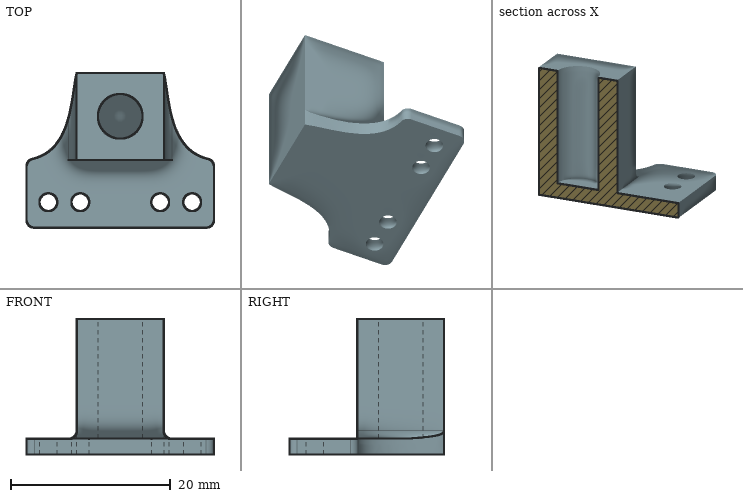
import cadquery as cq
import math

plate_width = 23.5
plate_depth = 8.5
plate_thickness = 2.0
corner_radius = 1.0

block_side = 10.9
total_height = 17.0
socket_diameter = 5.6
fillet_radius = 1.0

mount_hole_diameter = 2.2
mount_hole_y = 3.2
mount_hole_offsets = (5.0, 9.0)

block_handle_x = 0.8
block_handle_y = 3.0
plate_handle_x = 5.9
plate_handle_y = 0.65

half_plate = plate_width / 2
half_block = block_side / 2
back_y = plate_depth + block_side
block_center_y = plate_depth + half_block
fillet_top = plate_thickness + fillet_radius
socket_depth = total_height - plate_thickness


def flare_points(side):
    """Bezier points from the back corner of the block to the plate corner; side is -1 or 1."""
    return [
        (side * half_block, back_y),
        (side * (half_block + block_handle_x), back_y - block_handle_y),
        (side * (half_plate - plate_handle_x), plate_depth + plate_handle_y),
        (side * half_plate, plate_depth),
    ]


def make_footprint(height):
    """Flared outline with rounded plate corners, extruded up from the underside."""
    return (
        cq.Workplane("XY")
        .moveTo(-half_plate, 0)
        .lineTo(half_plate, 0)
        .lineTo(half_plate, plate_depth)
        .bezier(flare_points(1)[::-1])
        .lineTo(-half_block, back_y)
        .bezier(flare_points(-1))
        .close()
        .extrude(height)
        .edges("|Z and (<X or >X)")
        .fillet(corner_radius)
    )


def make_side_fillet(side):
    """Concave strip along one side of the block, from its front face to its back face."""
    wall_x = side * half_block
    foot_x = side * (half_block + fillet_radius)
    diagonal = fillet_radius * math.sqrt(0.5)
    arc_middle = (foot_x - side * diagonal, fillet_top - diagonal)
    return (
        cq.Workplane("XZ", origin=(0, back_y, 0))
        .moveTo(0, 0)
        .lineTo(foot_x, 0)
        .lineTo(foot_x, plate_thickness)
        .threePointArc(arc_middle, (wall_x, fillet_top))
        .lineTo(0, fillet_top)
        .close()
        .extrude(block_side)
    )


def make_base():
    """Plate and both side fillets, trimmed together by the flared outline."""
    base = cq.Workplane("XY").box(plate_width, back_y, plate_thickness, centered=(True, False, False))
    for side in (-1, 1):
        base = base.union(make_side_fillet(side))
    return base.intersect(make_footprint(fillet_top))


def make_block():
    """Square block reaching from the underside to the full height."""
    return (
        cq.Workplane("XY", origin=(0, block_center_y, 0))
        .rect(block_side, block_side)
        .extrude(total_height)
    )


def cut_socket(body):
    """Blind round socket from the top of the block down to the level of the plate."""
    socket = (
        cq.Workplane("XY", origin=(0, block_center_y, total_height))
        .circle(socket_diameter / 2)
        .extrude(-socket_depth)
    )
    return body.cut(socket)


def cut_mount_holes(body):
    """Through holes in one row across the plate."""
    centers = [(side * offset, mount_hole_y) for offset in mount_hole_offsets for side in (-1, 1)]
    holes = (
        cq.Workplane("XY")
        .pushPoints(centers)
        .circle(mount_hole_diameter / 2)
        .extrude(plate_thickness)
    )
    return body.cut(holes)


body = make_base().union(make_block())
result = cut_mount_holes(cut_socket(body))